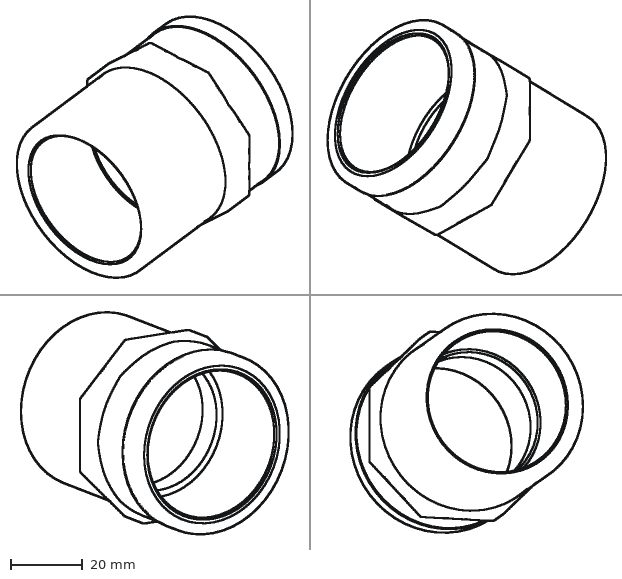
import cadquery as cq
import math

LENGTH = 60.1

BARREL_DIA = 50.0
BARREL_FILLET = 0.5
COLLAR_DIA = 51.0
OCTAGON_SIDES = 8
HALF_SIDE_ANGLE = 180 / OCTAGON_SIDES
OCTAGON_ACROSS_FLATS = COLLAR_DIA
OCTAGON_START = 31.3
OCTAGON_LENGTH = 10.2
OCTAGON_CORNER_FILLET = 0.9
OCTAGON_END_FILLET = 0.6

RING_DIA = 51.6
RING_BORE_DIA = 45.0
RING_LENGTH = 6.0
RING_FILLET = 0.7

SOCKET_MOUTH_DIA = 40.0
SOCKET_END_DIA = 39.65
SOCKET_DEPTH = 25.7
SOCKET_CHAMFER = 0.5
STOP_DIA = 38.0
STOP_LENGTH = 7.2
THREAD_BORE_DIA = 41.95
THREAD_MOUTH_DIA = 42.9

OCTAGON_MIDDLE = OCTAGON_START + OCTAGON_LENGTH / 2
RING_START = LENGTH - RING_LENGTH
STOP_END = SOCKET_DEPTH + STOP_LENGTH


def cylinder(diameter, start, end):
    """Solid cylinder along Y between two places."""
    base = cq.Workplane("XZ", origin=(0, start, 0))
    return base.circle(diameter / 2).extrude(start - end)


def revolved(points):
    """Solid turned round the Y axis from (radius, Y) points."""
    return cq.Workplane("XY").polyline(points).close().revolve(360, (0, 0), (0, 1))


def make_octagon():
    """Spanner octagon with flats facing +-X and +-Z and rounded edges."""
    across_corners = OCTAGON_ACROSS_FLATS / math.cos(math.radians(HALF_SIDE_ANGLE))
    prism = (
        cq.Workplane("XZ", origin=(0, OCTAGON_START, 0))
        .polygon(OCTAGON_SIDES, across_corners)
        .extrude(-OCTAGON_LENGTH)
        .rotate((0, 0, 0), (0, 1, 0), HALF_SIDE_ANGLE)
    )
    rounded = prism.edges("|Y").fillet(OCTAGON_CORNER_FILLET)
    return rounded.faces("<Y or >Y").edges().fillet(OCTAGON_END_FILLET)


def make_bore():
    """Tapered socket, stop and threaded-end bore, as one cutting tool."""
    mouth_radius = SOCKET_MOUTH_DIA / 2
    end_radius = SOCKET_END_DIA / 2
    stop_radius = STOP_DIA / 2
    thread_radius = THREAD_BORE_DIA / 2
    thread_mouth_radius = THREAD_MOUTH_DIA / 2
    thread_chamfer = thread_mouth_radius - thread_radius
    return revolved([
        (0, 0),
        (mouth_radius + SOCKET_CHAMFER, 0),
        (mouth_radius, SOCKET_CHAMFER),
        (end_radius, SOCKET_DEPTH),
        (stop_radius, SOCKET_DEPTH),
        (stop_radius, STOP_END),
        (thread_radius, STOP_END),
        (thread_radius, LENGTH - thread_chamfer),
        (thread_mouth_radius, LENGTH),
        (0, LENGTH),
    ])


def make_housing():
    """Barrel, octagon, collar and the neck that carries the ring, bored right through."""
    barrel = cylinder(BARREL_DIA, 0, OCTAGON_MIDDLE).faces("<Y").edges().fillet(BARREL_FILLET)
    collar = cylinder(COLLAR_DIA, OCTAGON_MIDDLE, RING_START)
    neck = cylinder(RING_BORE_DIA, RING_START, LENGTH)
    outside = barrel.union(make_octagon()).union(collar).union(neck)
    return outside.cut(make_bore())


def make_ring():
    """Reinforcing ring, rounded on its outer end edge."""
    blank = cylinder(RING_DIA, RING_START, LENGTH).faces(">Y").edges().fillet(RING_FILLET)
    return blank.cut(cylinder(RING_BORE_DIA, RING_START, LENGTH))


housing = make_housing()
ring = make_ring()

result = cq.Compound.makeCompound([housing.solids().val(), ring.solids().val()])